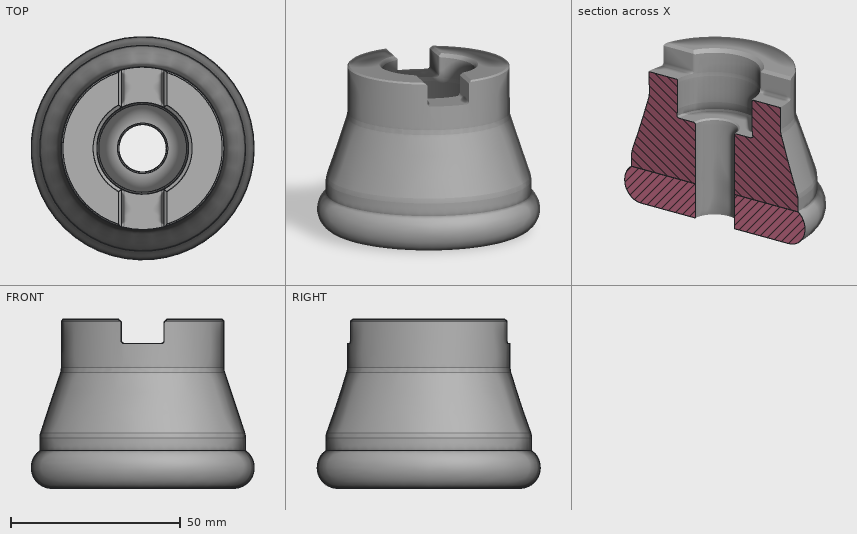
import cadquery as cq
import math

HEIGHT = 50.0
RING_DIAMETER = 65.95

RIM_RADIUS = 6.15

SKIRT_DIAMETER = 60.8
NECK_DIAMETER = 48.0
SKIRT_TOP_Z = 15.7
NECK_BOTTOM_Z = 34.95
BLEND_RADIUS = 4.6
TOP_CHAMFER = 0.45
EDGE_TOLERANCE = 0.05

BORE_DIAMETER = 27.0
MOUTH_DIAMETER = 27.2
FLOOR_DIAMETER = 26.0
MOUTH_BOTTOM_Z = 42.8
BORE_TOP_Z = 41.6
BORE_BOTTOM_Z = 33.25
UNDERCUT_DIAMETER = 27.6
UNDERCUT_BOTTOM_Z = 30.9
BORE_FLOOR_Z = 30.6
MOUTH_CHAMFER = 1.05
HOLE_DIAMETER = 14.0
HOLE_CHAMFER = 0.45

SLOT_WIDTH = 12.6
SLOT_DEPTH = 7.1
SLOT_FLOOR_RADIUS = 0.8
SLOT_CHAMFER = 0.85
SLOT_CORNER_RADIUS = 1.0

rim_center_r = RING_DIAMETER / 2 - RIM_RADIUS
skirt_r = SKIRT_DIAMETER / 2
neck_r = NECK_DIAMETER / 2
hole_r = HOLE_DIAMETER / 2
bore_r = BORE_DIAMETER / 2
undercut_r = UNDERCUT_DIAMETER / 2
floor_r = FLOOR_DIAMETER / 2
mouth_r = MOUTH_DIAMETER / 2
joint_z = RIM_RADIUS + math.sqrt(RIM_RADIUS**2 - (skirt_r - rim_center_r) ** 2)


def revolve_profile(profile):
    """Turn a closed radius/height profile about the Z axis."""
    return profile.close().revolve(360, (0, 0, 0), (0, 1, 0))


def make_ring():
    """Base ring with a rounded rim and a plain central hole."""
    profile = (
        cq.Workplane("XZ")
        .moveTo(hole_r, 0)
        .lineTo(rim_center_r, 0)
        .threePointArc((RING_DIAMETER / 2, RIM_RADIUS), (skirt_r, joint_z))
        .lineTo(hole_r, joint_z)
    )
    return revolve_profile(profile)


def make_shell():
    """Solid exterior of the housing, with blends at both ends of the cone."""
    profile = (
        cq.Workplane("XZ")
        .moveTo(0, joint_z)
        .lineTo(skirt_r, joint_z)
        .lineTo(skirt_r, SKIRT_TOP_Z)
        .lineTo(neck_r, NECK_BOTTOM_Z)
        .lineTo(neck_r, HEIGHT)
        .lineTo(0, HEIGHT)
    )
    shell = revolve_profile(profile)
    for z in (SKIRT_TOP_Z, NECK_BOTTOM_Z):
        low_corner = (-RING_DIAMETER, -RING_DIAMETER, z - EDGE_TOLERANCE)
        high_corner = (RING_DIAMETER, RING_DIAMETER, z + EDGE_TOLERANCE)
        cone_end = cq.selectors.BoxSelector(low_corner, high_corner, boundingbox=True)
        shell = shell.edges(cone_end).fillet(BLEND_RADIUS)
    return shell.faces(">Z").edges().chamfer(TOP_CHAMFER)


def make_bore_cutter():
    """Bore with a wider chamfered mouth, a flared undercut at the floor and a smaller through hole."""
    profile = (
        cq.Workplane("XZ")
        .moveTo(0, joint_z)
        .lineTo(hole_r, joint_z)
        .lineTo(hole_r, BORE_FLOOR_Z - HOLE_CHAMFER)
        .lineTo(hole_r + HOLE_CHAMFER, BORE_FLOOR_Z)
        .lineTo(floor_r, BORE_FLOOR_Z)
        .lineTo(undercut_r, UNDERCUT_BOTTOM_Z)
        .lineTo(bore_r, BORE_BOTTOM_Z)
        .lineTo(bore_r, BORE_TOP_Z)
        .lineTo(mouth_r, MOUTH_BOTTOM_Z)
        .lineTo(mouth_r, HEIGHT - MOUTH_CHAMFER)
        .lineTo(mouth_r + MOUTH_CHAMFER, HEIGHT)
        .lineTo(0, HEIGHT)
    )
    return revolve_profile(profile)


def make_slot_cutter():
    """Full-length slot with rounded floor corners and chamfered top edges."""
    half = SLOT_WIDTH / 2
    profile = (
        cq.Workplane("XZ")
        .moveTo(-half, HEIGHT - SLOT_DEPTH)
        .lineTo(half, HEIGHT - SLOT_DEPTH)
        .lineTo(half, HEIGHT - SLOT_CHAMFER)
        .lineTo(half + SLOT_CHAMFER, HEIGHT)
        .lineTo(-half - SLOT_CHAMFER, HEIGHT)
        .lineTo(-half, HEIGHT - SLOT_CHAMFER)
        .close()
    )
    slot = profile.extrude(RING_DIAMETER, both=True)
    return slot.faces("<Z").edges("|Y").fillet(SLOT_FLOOR_RADIUS)


def make_corner_cutter():
    """Four slivers that round the vertical corners between slot walls and bore mouth."""
    wall_x = SLOT_WIDTH / 2
    center_x = wall_x + SLOT_CORNER_RADIUS
    center_distance = mouth_r + SLOT_CORNER_RADIUS
    center_y = math.sqrt(center_distance**2 - center_x**2)
    corner_y = math.sqrt(mouth_r**2 - wall_x**2)
    touch_scale = mouth_r / center_distance
    touch = (center_x * touch_scale, center_y * touch_scale)
    toward_wall = math.pi
    toward_mouth = math.pi + math.atan2(center_y, center_x)
    middle_angle = (toward_wall + toward_mouth) / 2
    middle = (
        center_x + SLOT_CORNER_RADIUS * math.cos(middle_angle),
        center_y + SLOT_CORNER_RADIUS * math.sin(middle_angle),
    )
    inside = (wall_x, corner_y - SLOT_CORNER_RADIUS)
    floor_z = HEIGHT - SLOT_DEPTH + SLOT_FLOOR_RADIUS
    corner = (
        cq.Workplane("XY", origin=(0, 0, floor_z))
        .moveTo(wall_x, center_y)
        .threePointArc(middle, touch)
        .lineTo(*inside)
        .close()
        .extrude(SLOT_DEPTH)
    )
    pair = corner.union(corner.mirror("YZ"))
    return pair.union(pair.mirror("XZ"))


def make_housing():
    """Conical housing with its bore and driving slot."""
    slotted = make_shell().cut(make_slot_cutter())
    return slotted.cut(make_bore_cutter()).cut(make_corner_cutter())


ring = make_ring()
housing = make_housing()
result = cq.Compound.makeCompound([ring.val(), housing.val()])